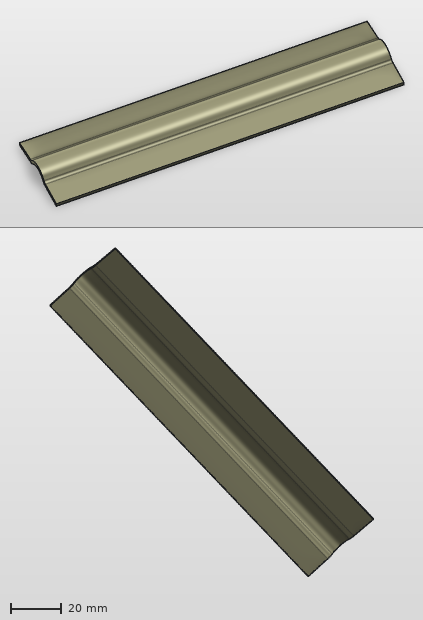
import cadquery as cq
import math

length = 152.4
width = 35.2
height = 5.8
thickness = 1.5
crown_radius = 7.6
fillet_radius = 2.1
flange_slope = math.radians(5.0)

half_width = width / 2
edge_height = thickness / math.cos(flange_slope)
flange_height_at_centre = edge_height + half_width * math.tan(flange_slope)

crown_centre_z = height - crown_radius
crown_depth = (flange_height_at_centre - crown_centre_z) * math.cos(flange_slope)
centre_distance = crown_radius + fillet_radius
normal_offset = crown_depth + fillet_radius
along_offset = math.sqrt(centre_distance**2 - normal_offset**2)
crown_half_angle = math.atan2(along_offset, normal_offset) + flange_slope
fillet_centre_x = centre_distance * math.sin(crown_half_angle)
fillet_centre_z = crown_centre_z + centre_distance * math.cos(crown_half_angle)


def crown_point(radius, angle):
    """Point on the ridge arc, with the angle measured from vertical."""
    return radius * math.sin(angle), crown_centre_z + radius * math.cos(angle)


def fillet_point(radius, angle):
    """Point on the right-hand fillet, with the angle measured from straight down."""
    return fillet_centre_x - radius * math.sin(angle), fillet_centre_z - radius * math.cos(angle)


def mirrored(point):
    return -point[0], point[1]


def add_surface(profile, depth, side):
    """Trace one face of the sheet from edge to edge; depth is measured below the upper face.

    side is -1 to start at the left edge and 1 to start at the right edge.
    """
    ridge_radius = crown_radius - depth
    blend_radius = fillet_radius + depth
    fillet_middle = (crown_half_angle + flange_slope) / 2
    flange_end = fillet_point(blend_radius, flange_slope)
    blend_middle = fillet_point(blend_radius, fillet_middle)
    ridge_start = crown_point(ridge_radius, crown_half_angle)
    ridge_top = crown_point(ridge_radius, 0)
    flange_edge = (half_width, edge_height - depth / math.cos(flange_slope))

    def near(point):
        return point if side > 0 else mirrored(point)

    def far(point):
        return mirrored(near(point))

    return (
        profile.lineTo(*near(flange_end))
        .threePointArc(near(blend_middle), near(ridge_start))
        .threePointArc(ridge_top, far(ridge_start))
        .threePointArc(far(blend_middle), far(flange_end))
        .lineTo(*far(flange_edge))
    )


profile = cq.Workplane("XZ").moveTo(-half_width, edge_height)
profile = add_surface(profile, 0, -1)
profile = profile.lineTo(half_width, 0)
profile = add_surface(profile, thickness, 1)
result = profile.close().extrude(length / 2, both=True)